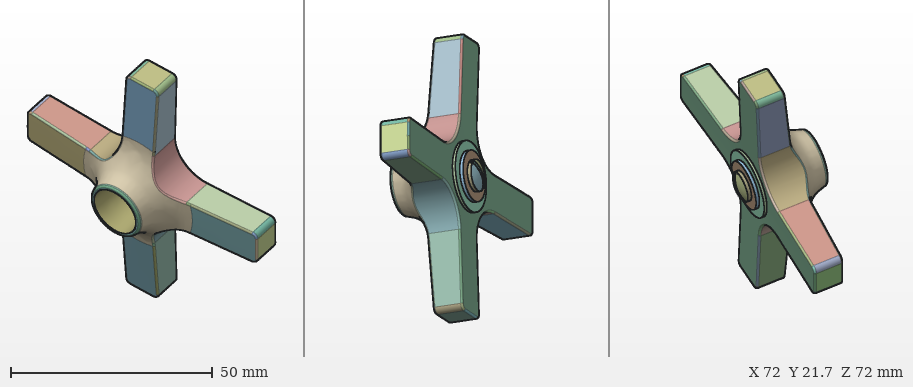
import cadquery as cq
import math

SPAN = 72.0
ARM_WIDTH = 10.15
ARM_CORNER_RADIUS = 10.0
TIP_CORNER_RADIUS = 1.5
EDGE_RADIUS = 0.5

HUB_RADIUS = 7.55
HUB_DRAFT = 11.0
HUB_BLEND_RADIUS = 10.4
RIM_RADIUS = 0.6
ARM_FRONT_ROOT = 7.8
ARM_FRONT_TIP = 10.8
ARM_BACK_ROOT = 17.65
ARM_BACK_TIP = 18.8

BOSS_RADIUS = 9.0
BOSS_BACK = 18.7
BORE_RIM_RADIUS = 6.55
BORE_FLOOR_RADIUS = 5.8
BORE_DEPTH = 14.4

WASHER_RADIUS = 6.5
WASHER_THICKNESS = 0.9
SCREW_RADIUS = 2.15
HEAD_RADIUS = 4.0
HEAD_RIM_HEIGHT = 1.0
DOME_HEIGHT = 1.15
SLOT_WIDTH = 1.0
SLOT_DEPTH = 1.6
SLOT_ANGLE = -45.0

WASHER_BACK = BOSS_BACK + WASHER_THICKNESS
HEAD_RIM_BACK = WASHER_BACK + HEAD_RIM_HEIGHT
HEAD_BACK = HEAD_RIM_BACK + DOME_HEIGHT
HALF_SPAN = SPAN / 2
HALF_WIDTH = ARM_WIDTH / 2


def cylinder(radius, y_start, y_end):
    """Cylinder on the hub axis between two Y positions."""
    return cq.Workplane("XZ", origin=(0, y_start, 0)).circle(radius).extrude(y_start - y_end)


def revolve_profile(profile):
    """Revolve an XY profile around the hub axis."""
    return profile.close().revolve(360, (0, 0, 0), (0, 1, 0))


def make_envelope():
    """Hub flaring into shallow cones that carry the front and back faces of the arms."""
    front_slope = (ARM_FRONT_TIP - ARM_FRONT_ROOT) / HALF_SPAN
    back_slope = (ARM_BACK_TIP - ARM_BACK_ROOT) / HALF_SPAN
    reach = HALF_SPAN + HALF_WIDTH

    hub_slope = math.tan(math.radians(HUB_DRAFT))
    corner_y = (ARM_FRONT_ROOT + front_slope * HUB_RADIUS) / (1 - front_slope * hub_slope)
    corner_radius = HUB_RADIUS + hub_slope * corner_y

    envelope = revolve_profile(
        cq.Workplane("XY")
        .lineTo(HUB_RADIUS, 0)
        .lineTo(corner_radius, corner_y)
        .lineTo(reach, ARM_FRONT_ROOT + front_slope * reach)
        .lineTo(reach, ARM_BACK_ROOT + back_slope * reach)
        .lineTo(0, ARM_BACK_ROOT)
    )
    margin = 0.1
    corner = cq.selectors.BoxSelector(
        (-reach, corner_y - margin, -reach), (reach, corner_y + margin, reach), boundingbox=True
    )
    return envelope.edges(corner).fillet(HUB_BLEND_RADIUS).faces("<Y").edges().fillet(RIM_RADIUS)


def make_cross():
    """Plan outline of the four arms with rounded inner and outer corners."""
    depth = 2 * SPAN
    arm_x = cq.Workplane("XY").box(SPAN, depth, ARM_WIDTH)
    arm_z = cq.Workplane("XY").box(ARM_WIDTH, depth, SPAN)
    inner = cq.selectors.BoxSelector(
        (-ARM_WIDTH, -depth, -ARM_WIDTH), (ARM_WIDTH, depth, ARM_WIDTH), boundingbox=True
    )
    return (
        arm_x.edges("|Y").fillet(TIP_CORNER_RADIUS)
        .union(arm_z.edges("|Y").fillet(TIP_CORNER_RADIUS))
        .edges(inner).edges("|Y").fillet(ARM_CORNER_RADIUS)
    )


def make_handle():
    """Four-armed handle with a back boss, a drafted blind bore and a screw hole."""
    body = make_envelope().intersect(make_cross())

    tolerance = 0.01
    side_walls = [
        face for face in body.faces().vals()
        if face.geomType() in ("PLANE", "CYLINDER") and abs(face.normalAt().y) < tolerance
    ]
    outline = cq.Workplane("XY").newObject(side_walls).edges("not |Y").vals()
    body = body.newObject(outline).fillet(EDGE_RADIUS)

    bore = revolve_profile(
        cq.Workplane("XY")
        .lineTo(BORE_RIM_RADIUS, 0)
        .lineTo(BORE_FLOOR_RADIUS, BORE_DEPTH)
        .lineTo(0, BORE_DEPTH)
    )
    boss = cylinder(BOSS_RADIUS, BORE_DEPTH, BOSS_BACK)
    screw_hole = cylinder(SCREW_RADIUS, BORE_DEPTH, BOSS_BACK)
    return body.union(boss).cut(bore).cut(screw_hole)


def make_washer():
    """Flat washer resting on the back boss."""
    washer = cylinder(WASHER_RADIUS, BOSS_BACK, WASHER_BACK)
    return washer.cut(cylinder(SCREW_RADIUS, BOSS_BACK, WASHER_BACK))


def make_screw():
    """Domed, slotted screw whose shank ends flush with the bore floor."""
    dome_radius = (HEAD_RADIUS ** 2 + DOME_HEIGHT ** 2) / (2 * DOME_HEIGHT)
    half_angle = math.asin(HEAD_RADIUS / dome_radius) / 2
    dome_middle = (
        dome_radius * math.sin(half_angle),
        HEAD_BACK - dome_radius * (1 - math.cos(half_angle)),
    )
    screw = revolve_profile(
        cq.Workplane("XY")
        .moveTo(0, BORE_DEPTH)
        .lineTo(SCREW_RADIUS, BORE_DEPTH)
        .lineTo(SCREW_RADIUS, WASHER_BACK)
        .lineTo(HEAD_RADIUS, WASHER_BACK)
        .lineTo(HEAD_RADIUS, HEAD_RIM_BACK)
        .threePointArc(dome_middle, (0, HEAD_BACK))
    )
    slot = (
        cq.Workplane("XY")
        .box(2 * HEAD_RADIUS, SLOT_DEPTH, SLOT_WIDTH)
        .rotate((0, 0, 0), (0, 1, 0), SLOT_ANGLE)
        .translate((0, HEAD_BACK - SLOT_DEPTH / 2, 0))
    )
    return screw.cut(slot)


handle = make_handle()
washer = make_washer()
screw = make_screw()

result = cq.Compound.makeCompound([handle.val(), washer.val(), screw.val()])